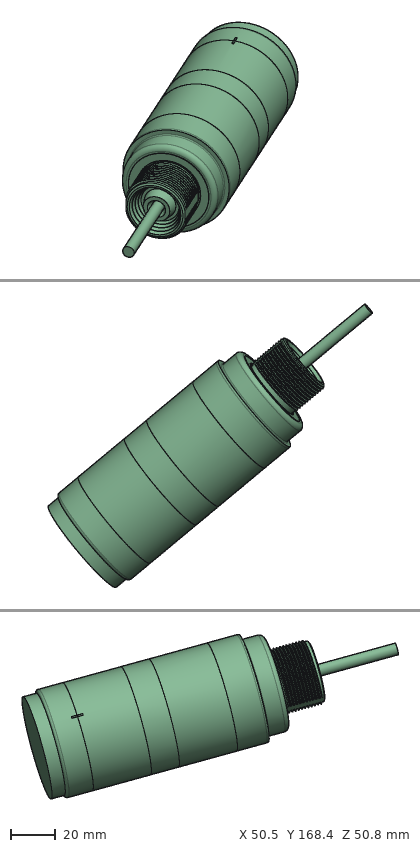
import cadquery as cq
import math

OVERALL_LENGTH = 168.45

CAP_RADIUS = 23.85
CAP_LENGTH = 6.2

BARREL_RADIUS = 25.25
BARREL_REAR = 101.3
FRONT_FILLET = BARREL_RADIUS - CAP_RADIUS
REAR_BEVEL_LENGTH = 1.0
REAR_BEVEL_DROP = 0.1
NECK_RADIUS = 22.6
NECK_REAR = 111.9
NECK_FILLET = 2.5
NECK_ROOT_FILLET = 0.5
NECK_RECESS_RADIUS = 19.05
NECK_RECESS_DEPTH = 0.3

SLEEVE_LENGTH = 27.2
SLEEVE_THICKNESS = 1.5
SLEEVE_STARTS = (18.9, 59.2)
SLEEVE_SEAT_RADIUS = BARREL_RADIUS - SLEEVE_THICKNESS

MARK_WIDTH = 0.8
MARK_LENGTH = 2.6
MARK_HEIGHT = 0.25

STUB_REAR = 130.9
THREAD_CREST_RADIUS = 15.0
THREAD_ROOT_RADIUS = 14.2
THREAD_PITCH = 1.5
THREAD_START = 113.2
THREAD_TURNS = 11
THREAD_EMBED = 0.15
THREAD_BASE_FRACTION = 0.8
FLAT_OFFSET = 14.0
STUB_CLEARANCE_RADIUS = 15.0
STUB_CLEARANCE_DEPTH = 0.5
STUB_CHAMFER_RADIAL = 1.0
STUB_CHAMFER_AXIAL = 0.5

BORE_MOUTH_RADIUS = 12.2
BORE_FLOOR_RADIUS = 8.8
BORE_DEPTH = 7.0
BORE_STEPS = 4
BORE_TAPER_SHARE = 0.8
NOSE_BASE_RADIUS = 7.5
NOSE_TIP_RADIUS = 6.3
NOSE_SETBACK = 2.0

CABLE_RADIUS = 2.75
CABLE_SEAT_DEPTH = 6.0
FLARE_RADIUS = 4.3
FLARE_DEPTH = 3.0

NOSE_TIP = STUB_REAR - NOSE_SETBACK
CABLE_FRONT = NOSE_TIP - CABLE_SEAT_DEPTH
BORE_FLOOR = STUB_REAR - BORE_DEPTH


def ring(front, rear, outer, inner=0.0):
    """Plain disc or tube about the Y axis between two stations."""
    corners = [(-inner, -front), (-outer, -front), (-outer, -rear), (-inner, -rear)]
    return cq.Workplane("XY").polyline(corners).close().revolve(360, (0, 0, 0), (0, 1, 0))


def bore_points():
    """(station, radius) points down the bore wall: each step is a taper and a shoulder."""
    step_length = BORE_DEPTH / BORE_STEPS
    step_drop = (BORE_MOUTH_RADIUS - BORE_FLOOR_RADIUS) / BORE_STEPS
    points = [(STUB_REAR, BORE_MOUTH_RADIUS)]
    for step in range(BORE_STEPS):
        station = STUB_REAR - (step + 1) * step_length
        radius = BORE_MOUTH_RADIUS - step * step_drop
        points.append((station, radius - BORE_TAPER_SHARE * step_drop))
        points.append((station, radius - step_drop))
    return points


def barrel_blank():
    """Barrel, neck and stub turned as one outline, with the bore and cable seat inside."""
    recess_floor = NECK_REAR - NECK_RECESS_DEPTH
    clearance_floor = recess_floor - STUB_CLEARANCE_DEPTH
    diagonal = math.sqrt(0.5)
    front_rim = BARREL_RADIUS - FRONT_FILLET
    neck_rim = NECK_RADIUS - NECK_FILLET
    root_station = BARREL_REAR + NECK_ROOT_FILLET
    root_radius = NECK_RADIUS + NECK_ROOT_FILLET

    def at(station, radius):
        return (-station, radius)

    outline = (
        cq.Workplane("YZ")
        .moveTo(*at(CAP_LENGTH, 0))
        .lineTo(*at(CAP_LENGTH, front_rim))
        .threePointArc(
            at(CAP_LENGTH + FRONT_FILLET * (1 - diagonal), front_rim + FRONT_FILLET * diagonal),
            at(CAP_LENGTH + FRONT_FILLET, BARREL_RADIUS),
        )
        .lineTo(*at(BARREL_REAR - REAR_BEVEL_LENGTH, BARREL_RADIUS))
        .lineTo(*at(BARREL_REAR, BARREL_RADIUS - REAR_BEVEL_DROP))
        .lineTo(*at(BARREL_REAR, root_radius))
        .threePointArc(
            at(root_station - NECK_ROOT_FILLET * diagonal, root_radius - NECK_ROOT_FILLET * diagonal),
            at(root_station, NECK_RADIUS),
        )
        .lineTo(*at(NECK_REAR - NECK_FILLET, NECK_RADIUS))
        .threePointArc(
            at(NECK_REAR - NECK_FILLET * (1 - diagonal), neck_rim + NECK_FILLET * diagonal),
            at(NECK_REAR, neck_rim),
        )
        .lineTo(*at(NECK_REAR, NECK_RECESS_RADIUS))
        .lineTo(*at(recess_floor, NECK_RECESS_RADIUS))
        .lineTo(*at(recess_floor, STUB_CLEARANCE_RADIUS))
        .lineTo(*at(clearance_floor, STUB_CLEARANCE_RADIUS))
        .lineTo(*at(clearance_floor, THREAD_ROOT_RADIUS))
        .lineTo(*at(STUB_REAR - STUB_CHAMFER_AXIAL, THREAD_ROOT_RADIUS))
        .lineTo(*at(STUB_REAR, THREAD_ROOT_RADIUS - STUB_CHAMFER_RADIAL))
    )
    for station, radius in bore_points():
        outline = outline.lineTo(*at(station, radius))
    outline = (
        outline.lineTo(*at(BORE_FLOOR, NOSE_BASE_RADIUS))
        .lineTo(*at(NOSE_TIP, NOSE_TIP_RADIUS))
        .lineTo(*at(NOSE_TIP, FLARE_RADIUS))
        .lineTo(*at(NOSE_TIP - FLARE_DEPTH, CABLE_RADIUS))
        .lineTo(*at(CABLE_FRONT, CABLE_RADIUS))
        .lineTo(*at(CABLE_FRONT, 0))
    )
    return outline.close().revolve(360, (0, 0, 0), (1, 0, 0))


def thread_ridge():
    """Helical V ridge around the stub, its foot sunk slightly into the stub wall."""
    foot_radius = THREAD_ROOT_RADIUS - THREAD_EMBED
    half_foot = THREAD_BASE_FRACTION * THREAD_PITCH / 2
    helix = cq.Wire.makeHelix(THREAD_PITCH, THREAD_TURNS * THREAD_PITCH, foot_radius)
    profile = (
        cq.Workplane("XZ")
        .polyline([(foot_radius, -half_foot), (THREAD_CREST_RADIUS, 0), (foot_radius, half_foot)])
        .close()
    )
    ridge = profile.sweep(cq.Workplane(obj=helix), isFrenet=True)
    return ridge.rotate((0, 0, 0), (1, 0, 0), 90).translate((0, -THREAD_START, 0))


def stub_flats():
    """Two blocks that trim the stub and its thread flat on the +X and -X sides."""
    trim = THREAD_CREST_RADIUS
    length = STUB_REAR - NECK_REAR
    middle = -(STUB_REAR + NECK_REAR) / 2
    return (
        cq.Workplane("XY")
        .pushPoints([(side * (FLAT_OFFSET + trim / 2), middle) for side in (-1, 1)])
        .box(trim, length, 2 * trim)
    )


def alignment_mark(front, rear):
    """Raised bar on top of the barrel surface between two stations."""
    return (
        cq.Workplane("XY")
        .box(MARK_WIDTH, rear - front, SLEEVE_THICKNESS / 2 + MARK_HEIGHT, centered=(True, False, False))
        .translate((0, -rear, BARREL_RADIUS - SLEEVE_THICKNESS / 2))
    )


def barrel_body():
    """Barrel with its sleeve grooves, front alignment mark, thread and flats."""
    body = barrel_blank()
    for start in SLEEVE_STARTS:
        groove = ring(start, start + SLEEVE_LENGTH, BARREL_RADIUS + SLEEVE_THICKNESS, SLEEVE_SEAT_RADIUS)
        body = body.cut(groove)
    joint = SLEEVE_STARTS[0]
    body = body.union(alignment_mark(joint - MARK_LENGTH, joint))
    flats = stub_flats()
    return body.cut(flats).union(thread_ridge().cut(flats))


def sleeve_body(start):
    """Plain tube filling one groove of the barrel."""
    return ring(start, start + SLEEVE_LENGTH, BARREL_RADIUS, SLEEVE_SEAT_RADIUS)


cap = ring(0, CAP_LENGTH, CAP_RADIUS)
barrel = barrel_body()
cable = ring(CABLE_FRONT, OVERALL_LENGTH, CABLE_RADIUS)

sleeves = [sleeve_body(start) for start in SLEEVE_STARTS]
sleeves[0] = sleeves[0].union(alignment_mark(SLEEVE_STARTS[0], SLEEVE_STARTS[0] + MARK_LENGTH))

bodies = [cap, barrel, *sleeves, cable]
result = cq.Compound.makeCompound([body.solids().val() for body in bodies])